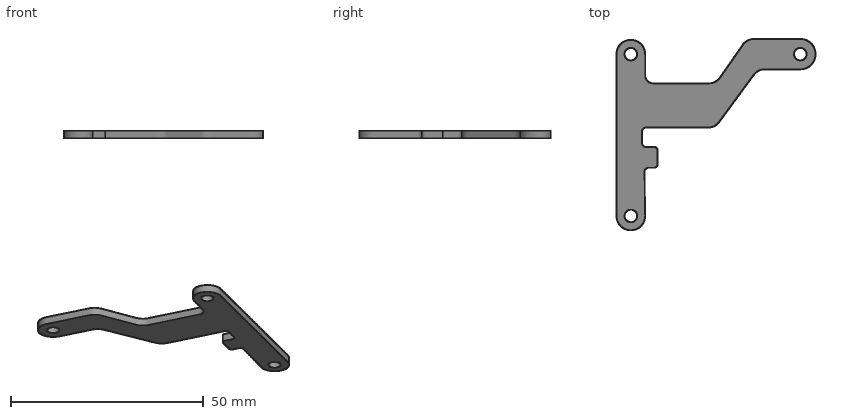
import cadquery as cq

thickness = 2.0
overall_length = 51.7
hole_diameter = 3.2
hole_spacing_y = 42.0

strap_width = 7.5
strap_radius = strap_width / 2
arm_width = 7.95
arm_radius = arm_width / 2
arm_hole_x = overall_length - strap_radius - arm_radius
arm_top = hole_spacing_y + arm_radius
arm_bottom = hole_spacing_y - arm_radius

web_top = 34.45
web_bottom = 22.9
slope_top_start_x = 22.1
slope_top_end_x = 30.15
slope_bottom_start_x = 21.85
slope_bottom_end_x = 32.95

notch_x = 2.95
tab_right = 7.0
tab_top = 17.95
tab_bottom = 12.45
taper_top_x = 3.55

bend_radius = 3.5
strap_web_radius = 2.0
tab_radius = 1.0

strap_web_corner = (strap_radius, web_top)
bend_corners = [
    (slope_top_start_x, web_top),
    (slope_top_end_x, arm_top),
    (slope_bottom_end_x, arm_bottom),
    (slope_bottom_start_x, web_bottom),
]
tab_corners = [
    (notch_x, web_bottom),
    (notch_x, tab_top),
    (tab_right, tab_top),
    (tab_right, tab_bottom),
    (taper_top_x, tab_bottom),
]


def round_corners(body, corners, radius):
    """Round the upright edges standing at the given corners."""
    for x, y in corners:
        edge = cq.selectors.NearestToPointSelector((x, y, thickness / 2))
        body = body.edges("|Z").edges(edge).fillet(radius)
    return body


def make_plate():
    outline = (
        cq.Workplane("XY")
        .moveTo(-strap_radius, 0)
        .lineTo(-strap_radius, hole_spacing_y)
        .threePointArc((0, hole_spacing_y + strap_radius), (strap_radius, hole_spacing_y))
        .lineTo(*strap_web_corner)
    )
    for corner in bend_corners[:2]:
        outline = outline.lineTo(*corner)
    outline = outline.lineTo(arm_hole_x, arm_top).threePointArc(
        (arm_hole_x + arm_radius, hole_spacing_y), (arm_hole_x, arm_bottom)
    )
    for corner in bend_corners[2:] + tab_corners:
        outline = outline.lineTo(*corner)
    outline = outline.lineTo(strap_radius, 0).threePointArc((0, -strap_radius), (-strap_radius, 0))
    return outline.close().extrude(thickness)


def make_holes():
    centers = [(0, 0), (0, hole_spacing_y), (arm_hole_x, hole_spacing_y)]
    return cq.Workplane("XY").pushPoints(centers).circle(hole_diameter / 2).extrude(thickness)


plate = make_plate()
plate = round_corners(plate, [strap_web_corner], strap_web_radius)
plate = round_corners(plate, bend_corners, bend_radius)
plate = round_corners(plate, tab_corners, tab_radius)
result = plate.cut(make_holes())